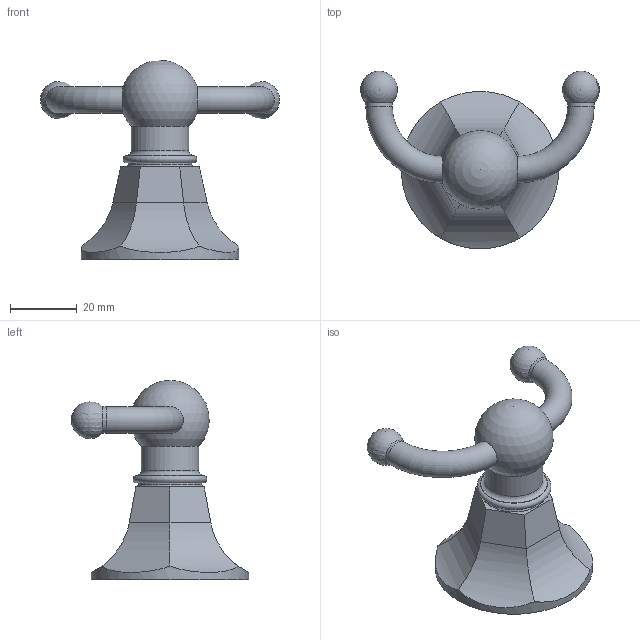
import cadquery as cq
import math

foot_radius = 23.5
base_height = 27.7
bend_height = 16.95
top_half_width = 10.2
bend_half_width = 12.2
flare_radius = 20.6
flare_overrun = 0.5
flat_pairs = 3
first_flat_angle = 90

quarter_middle = math.sqrt(0.5)

stem_radius = 8.6
flange_radius = 9.75
groove_radius = 9.45
groove_bottom = 28.4
ring_bottom = 28.9
ring_top = 31.1
ring_outer_radius = 11.05
stem_fillet = 1.45

overall_height = 59.54
ball_radius = 11.75
ball_height = overall_height - ball_radius
arm_height = 47.68
arm_radius = 3.969
arm_bend_radius = 19.05
tip_radius = 5.556
tip_x = 30.163
tip_y = 23.955


def flat_pair(angle):
    """Long bar whose cross-section is the bell profile, running along one pair of flats."""
    slope = math.atan2(bend_half_width - top_half_width, base_height - bend_height)
    center_x = bend_half_width + flare_radius * math.cos(slope)
    center_z = bend_height + flare_radius * math.sin(slope)

    def flare_height(x):
        return center_z - math.sqrt(flare_radius**2 - (center_x - x) ** 2)

    end_x = foot_radius + flare_overrun
    middle_x = (bend_half_width + end_x) / 2
    half_bar = (
        cq.Workplane("XZ")
        .lineTo(end_x, 0)
        .lineTo(end_x, flare_height(end_x))
        .threePointArc((middle_x, flare_height(middle_x)), (bend_half_width, bend_height))
        .lineTo(top_half_width, base_height)
        .lineTo(0, base_height)
        .close()
        .extrude(2 * foot_radius, both=True)
    )
    bar = half_bar.union(half_bar.mirror("YZ"))
    return bar.rotate((0, 0, 0), (0, 0, 1), angle)


def make_base():
    base = cq.Workplane("XY").circle(foot_radius).extrude(base_height)
    for index in range(flat_pairs):
        base = base.intersect(flat_pair(first_flat_angle + index * 180 / flat_pairs))
    return base


def make_neck():
    """Turned stem with a flange, a groove, a rounded ring and a concave fillet."""
    ring_edge_radius = (ring_top - ring_bottom) / 2
    ring_middle = (ring_top + ring_bottom) / 2
    ring_side = ring_outer_radius - ring_edge_radius
    fillet_rim = stem_radius + stem_fillet
    fillet_sag = stem_fillet * (1 - quarter_middle)
    return (
        cq.Workplane("XZ")
        .moveTo(0, base_height)
        .lineTo(flange_radius, base_height)
        .lineTo(groove_radius, groove_bottom)
        .lineTo(groove_radius, ring_bottom)
        .lineTo(ring_side, ring_bottom)
        .threePointArc((ring_outer_radius, ring_middle), (ring_side, ring_top))
        .lineTo(fillet_rim, ring_top)
        .threePointArc(
            (stem_radius + fillet_sag, ring_top + fillet_sag),
            (stem_radius, ring_top + stem_fillet),
        )
        .lineTo(stem_radius, ball_height)
        .lineTo(0, ball_height)
        .close()
        .revolve(360, (0, 0, 0), (0, 1, 0))
    )


def make_arm():
    """Right-hand arm: quarter bend out of the ball, short straight and a ball tip."""
    bend_start = tip_x - arm_bend_radius
    diagonal = arm_bend_radius * quarter_middle
    path = (
        cq.Workplane("XY")
        .lineTo(bend_start, 0)
        .threePointArc(
            (bend_start + diagonal, arm_bend_radius - diagonal),
            (tip_x, arm_bend_radius),
        )
        .lineTo(tip_x, tip_y)
    )
    rod = cq.Workplane("YZ").circle(arm_radius).sweep(path)
    tip = cq.Workplane("XY").sphere(tip_radius).translate((tip_x, tip_y, 0))
    return rod.union(tip).translate((0, 0, arm_height))


ball = cq.Workplane("XY").sphere(ball_radius).translate((0, 0, ball_height))
arm = make_arm()
result = make_base().union(make_neck()).union(ball).union(arm).union(arm.mirror("YZ"))